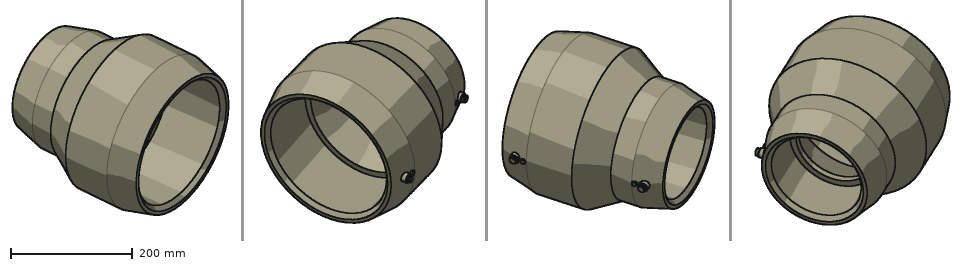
import cadquery as cq

length = 280.0
end_taper_length = 51.0
cone_start = 89.3
cone_end = 145.0
large_radius = length / 2
small_radius = 107.3
small_end_radius = 93.8
large_end_radius = large_radius - (small_radius - small_end_radius)

small_socket_radius = 79.8
large_socket_radius = 112.5
lead_in_growth = 7.2
lead_in_length = 8.0
small_socket_depth = 88.0
large_socket_depth = 114.8

throat_radius = 69.0
throat_overrun = 10.0
throat_end = cone_start + throat_overrun
passage_large_radius = large_socket_radius - (small_socket_radius - throat_radius)

pin_radius = 8.3
cap_radius = 6.5
neck_radius = 5.7
neck_height = 1.5
cap_chamfer = 1.1
indicator_radius = 4.3
embed_depth = 11.5
small_pin_x = 29.3
large_pin_x = 250.5
small_indicator_x = 46.0
large_indicator_x = 234.8
small_pin_top = 115.0
total_height = 287.0
large_pin_top = total_height - large_radius
small_shoulder = 108.5
large_shoulder = 141.5


def revolve_about_x(points):
    """Turn a closed (X, radius) outline about the X axis."""
    return cq.Workplane("XY").polyline(points).close().revolve(360, (0, 0, 0), (1, 0, 0))


def make_outside():
    return revolve_about_x([
        (0, 0),
        (0, small_end_radius),
        (end_taper_length, small_radius),
        (cone_start, small_radius),
        (cone_end, large_radius),
        (length - end_taper_length, large_radius),
        (length, large_end_radius),
        (length, 0),
    ])


def make_inside():
    large_socket_start = length - large_socket_depth
    return revolve_about_x([
        (0, 0),
        (0, small_socket_radius + lead_in_growth),
        (lead_in_length, small_socket_radius),
        (small_socket_depth, small_socket_radius),
        (small_socket_depth, throat_radius),
        (throat_end, throat_radius),
        (large_socket_start, passage_large_radius),
        (large_socket_start, large_socket_radius),
        (length - lead_in_length, large_socket_radius),
        (length, large_socket_radius + lead_in_growth),
        (length, 0),
    ])


def post(x, bottom, top, radius):
    """A cylinder along Y between two heights above the X axis."""
    plane = cq.Plane(origin=(x, bottom, 0), xDir=(1, 0, 0), normal=(0, 1, 0))
    return cq.Workplane(plane).circle(radius).extrude(top - bottom)


def make_pin(x, shoulder, top):
    """A thick base, a narrow neck and a chamfered cap."""
    cap_bottom = shoulder + neck_height
    base = post(x, shoulder - embed_depth, shoulder, pin_radius)
    neck = post(x, shoulder, cap_bottom, neck_radius)
    cap = post(x, cap_bottom, top, cap_radius).faces(">Y").chamfer(cap_chamfer)
    return base.union(neck).union(cap)


def make_indicator(x, top):
    return post(x, top - embed_depth, top, indicator_radius)


result = make_outside().cut(make_inside())
result = result.union(make_pin(small_pin_x, small_shoulder, small_pin_top))
result = result.union(make_pin(large_pin_x, large_shoulder, large_pin_top))
result = result.union(make_indicator(small_indicator_x, small_shoulder))
result = result.union(make_indicator(large_indicator_x, large_shoulder))